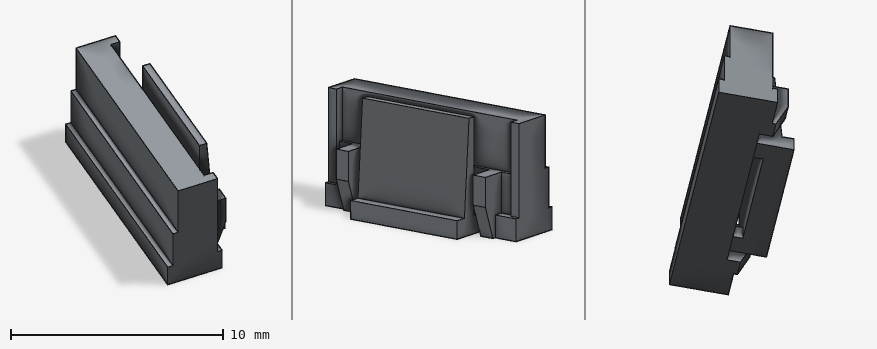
import cadquery as cq

length = 11.25
height = 5.7
base_height = 1.11
middle_height = 3.1
front_step = 0.27
rear_step = 0.24
upper_back = 2.13
lower_back = upper_back + rear_step
ear_back = lower_back + rear_step
flange_back = ear_back + rear_step
ear_width = 0.48

fin_inset = 1.23
fin_width = 0.72
fin_back = 3.61
fin_foot_back = 3.02
fin_slope_height = 1.64

latch_length = 6.28
latch_front = flange_back
lever_tip_back = 3.22
lever_root_back = 3.58
thumb_bar_back = 4.15
thumb_bar_height = 0.91
leg_width = 0.82
leg_height = thumb_bar_height


def side_profile(points, x_start, width):
    """Extrude an outline of (Y, Z) points along +X."""
    return cq.Workplane("YZ", origin=(x_start, 0, 0)).polyline(points).close().extrude(width)


def block(x_start, width, y_front, y_back, block_height):
    """Rectangular block standing on Z = 0."""
    size = (width, y_back - y_front, block_height)
    return cq.Workplane("XY").box(*size, centered=False).translate((x_start, y_front, 0))


def end_starts(inset, width, span):
    """X starts of two mirrored features, each inset from the ends of a span."""
    return (-span / 2 + inset, span / 2 - inset - width)


def make_housing():
    body = side_profile(
        [
            (0, 0),
            (0, base_height),
            (front_step, base_height),
            (front_step, middle_height),
            (2 * front_step, middle_height),
            (2 * front_step, height),
            (upper_back, height),
            (upper_back, middle_height),
            (lower_back, middle_height),
            (lower_back, 0),
        ],
        -length / 2,
        length,
    )
    for x in end_starts(0, ear_width, length):
        body = body.union(block(x, ear_width, 2 * front_step, ear_back, height))
    for x in end_starts(0, fin_inset, length):
        body = body.union(block(x, fin_inset, 2 * front_step, flange_back, base_height))
    fin_profile = [
        (2 * front_step, 0),
        (fin_foot_back, 0),
        (fin_back, fin_slope_height),
        (fin_back, middle_height),
        (2 * front_step, middle_height),
    ]
    for x in end_starts(fin_inset, fin_width, length):
        body = body.union(side_profile(fin_profile, x, fin_width))
    return body


def make_latch():
    latch = side_profile(
        [
            (latch_front, 0),
            (thumb_bar_back, 0),
            (thumb_bar_back, thumb_bar_height),
            (lever_root_back, thumb_bar_height),
            (lever_tip_back, height),
            (latch_front, height),
        ],
        -latch_length / 2,
        latch_length,
    )
    for x in end_starts(0, leg_width, latch_length):
        latch = latch.union(block(x, leg_width, lower_back, lever_tip_back, leg_height))
    return latch


housing = make_housing()
latch = make_latch()
result = cq.Compound.makeCompound([housing.val(), latch.val()])